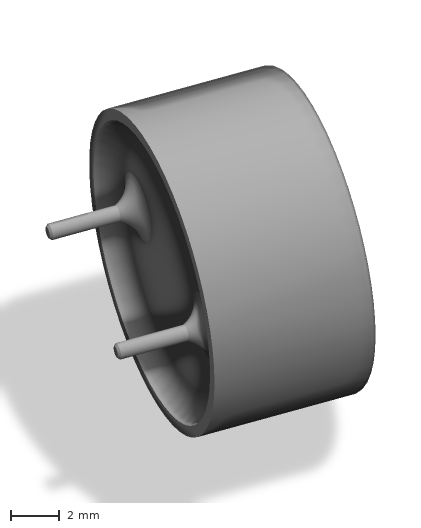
import cadquery as cq

housing_diameter = 14.0
housing_depth = 7.21
back_edge_radius = 0.3

disc_diameter = 12.04
disc_height = 0.14

recess_mouth_diameter = 13.0
recess_floor_diameter = 10.7
recess_depth = 0.88

pin_spacing = 7.62
pin_diameter = 0.7
pin_length = 3.1
pin_tip_chamfer = 0.1
cone_diameter = 3.05
cone_height = 0.9
flare_radius = 1.6


def cylinder_along_y(diameter, start, length, x=0.0):
    """Solid cylinder that runs from Y = start towards +Y."""
    return cq.Workplane("XZ", origin=(x, start, 0)).circle(diameter / 2).extrude(-length)


def housing():
    body = cylinder_along_y(housing_diameter, 0, housing_depth)
    return body.faces(">Y").edges().fillet(back_edge_radius)


def recess():
    """Cutting tool for the recess: its wall is an arc tangent to the floor."""
    mouth_radius = recess_mouth_diameter / 2
    floor_radius = recess_floor_diameter / 2
    wall_width = mouth_radius - floor_radius
    wall_radius = (wall_width**2 + recess_depth**2) / (2 * recess_depth)
    return (
        cq.Workplane("XY")
        .lineTo(mouth_radius, 0)
        .radiusArc((floor_radius, recess_depth), -wall_radius)
        .lineTo(0, recess_depth)
        .close()
        .revolve(360, (0, 0, 0), (0, 1, 0))
    )


def pin(x):
    shaft = cylinder_along_y(pin_diameter, -pin_length, pin_length + recess_depth, x)
    return shaft.faces("<Y").edges().chamfer(pin_tip_chamfer)


def solder_cone(x):
    """Concave flare: a shallow arc from the recess floor up to the pin."""
    cone_radius = cone_diameter / 2
    pin_radius = pin_diameter / 2
    return (
        cq.Workplane("XY", origin=(x, recess_depth, 0))
        .lineTo(cone_radius, 0)
        .radiusArc((pin_radius, -cone_height), -flare_radius)
        .lineTo(0, -cone_height)
        .close()
        .revolve(360, (0, 0, 0), (0, 1, 0))
    )


result = housing().union(cylinder_along_y(disc_diameter, housing_depth, disc_height)).cut(recess())
for pin_x in (-pin_spacing / 2, pin_spacing / 2):
    result = result.union(pin(pin_x)).union(solder_cone(pin_x))